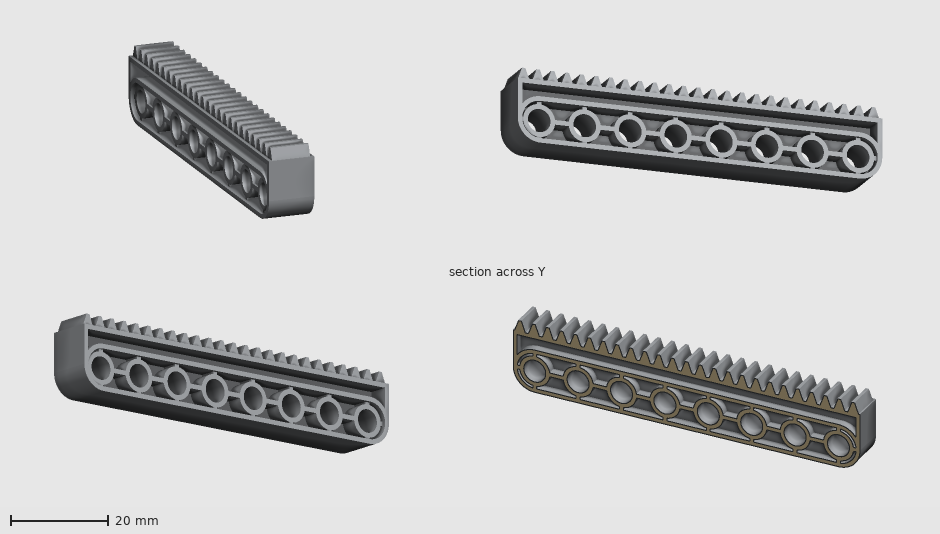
import cadquery as cq

length = 80.0
width = 10.0
height = 16.0

wall = width / 10
tooth_height = 2.5
body_height = height - tooth_height
end_radius = width / 2
pin_row_height = end_radius

hole_count = 8
hole_pitch = length / hole_count
hole_diameter = 5.0
boss_diameter = 7.0
boss_setback = 0.8
boss_length = width - 2 * boss_setback

tooth_count = 25
tooth_pitch = length / tooth_count
tooth_width = 8.4
tooth_root = 2.6
tooth_tip = 0.7


def centered_positions(count, pitch):
    """Evenly spaced X positions, symmetric about the middle of the part."""
    return [(i - (count - 1) / 2) * pitch for i in range(count)]


def block(size_x, size_y, size_z, x, z):
    """Box centered on (x, 0, z)."""
    return cq.Workplane("XY").box(size_x, size_y, size_z).translate((x, 0, z))


def pin_cylinder(diameter, size_y, x):
    """Cylinder along Y on the pin row, centered on Y = 0."""
    return (
        cq.Workplane("XZ")
        .center(x, pin_row_height)
        .circle(diameter / 2)
        .extrude(size_y / 2, both=True)
    )


def stadium(inset):
    """Full-width round-ended bar around the pin row, inset from the beam sides."""
    return (
        cq.Workplane("XZ")
        .center(0, pin_row_height)
        .slot2D(length - 2 * inset, 2 * (end_radius - inset))
        .extrude(width / 2, both=True)
    )


def make_beam():
    """Solid beam with rounded lower corners."""
    beam = block(length, width, body_height, 0, body_height / 2)
    return beam.edges("|Y and <Z").fillet(end_radius)


def make_floor():
    """Central plate that separates the pockets of the two faces."""
    return block(length, wall, body_height, 0, body_height / 2)


def make_upper_pocket():
    """Recess between the top wall and the round-ended wall around the pin row."""
    pocket_height = body_height - wall - pin_row_height
    pocket = block(length - 2 * wall, width, pocket_height, 0, pin_row_height + pocket_height / 2)
    return pocket.cut(stadium(0)).cut(make_floor())


def make_lower_pocket(hole_positions):
    """Recess along the pin row, leaving the bosses, the long rib and the spokes."""
    pocket = stadium(wall).cut(make_floor())
    pocket = pocket.cut(block(length, boss_length, wall, 0, pin_row_height))
    for x in hole_positions:
        pocket = pocket.cut(pin_cylinder(boss_diameter, boss_length, x))
        pocket = pocket.cut(block(wall, boss_length, 2 * end_radius, x, pin_row_height))
    return pocket


def make_tooth(x):
    """One straight-sided rack tooth standing on the beam."""
    profile = [
        (x - tooth_root / 2, body_height),
        (x - tooth_tip / 2, height),
        (x + tooth_tip / 2, height),
        (x + tooth_root / 2, body_height),
    ]
    return cq.Workplane("XZ").polyline(profile).close().extrude(tooth_width / 2, both=True)


hole_positions = centered_positions(hole_count, hole_pitch)

result = make_beam()
result = result.cut(make_upper_pocket())
result = result.cut(make_lower_pocket(hole_positions))

for x in hole_positions:
    result = result.cut(pin_cylinder(hole_diameter, width, x))

for x in centered_positions(tooth_count, tooth_pitch):
    result = result.union(make_tooth(x))